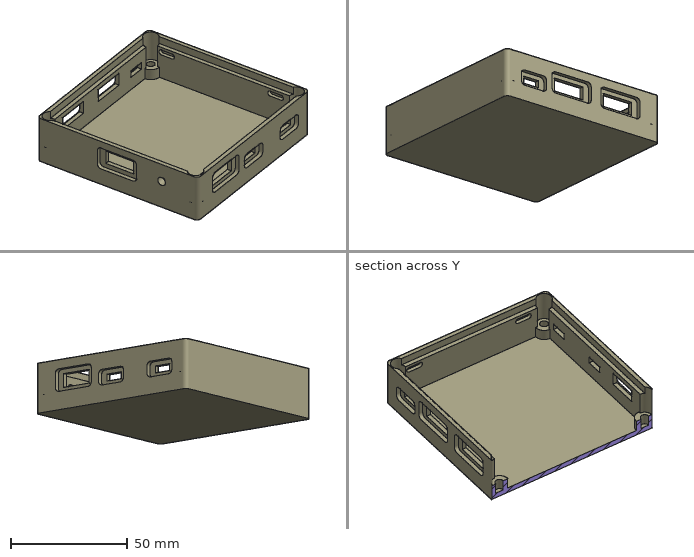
import cadquery as cq
side = 84.0
height = 22.0
corner_radius = 2.0
floor_thickness = 2.8

wall = 4.0
rim_wall = 2.0
ledge_depth = 3.5
half_side = side / 2

post_offset = half_side - wall
post_radius = 4.45
post_height = 5.1
clearance_radius = 3.5
screw_hole_diameter = 3.8

recess_depth = 2.0
recess_radius = 2.0
side_margin = 3.0
top_margin = 1.9
front_top_margin = 2.2
port_z = 13.0
port_height = 6.05
wide_port = 15.5
narrow_port = 14.0
small_port_width = 7.9
left_small_port_height = 3.3
right_small_port_height = 3.0
small_port_y = 27.0
left_small_port_z = 10.75
right_small_port_z = 11.1
left_port_ys = (6.2, -20.7)
right_port_y = -21.0

front_port_x = -0.3
front_port_width = 14.45
front_port_height = 6.3
front_z = 13.3
front_hole_x = 22.9
front_hole_diameter = 3.95

slot_xs = (27.2, -29.65)
slot_z = 15.9
slot_length = 8.1
slot_height = 2.5
slot_depth = 1.8


def square_block(width, bottom, top):
    return cq.Workplane("XY").workplane(offset=bottom).rect(width, width).extrude(top - bottom)


def at_corners(radius, bottom, top):
    """Four vertical cylinders on the post axes."""
    span = 2 * post_offset
    plane = cq.Workplane("XY").workplane(offset=bottom)
    return plane.rect(span, span, forConstruction=True).vertices().circle(radius).extrude(top - bottom)


def wall_plane(face):
    """Sketch plane on an outer wall face; local x runs to the right seen from outside."""
    frames = {
        "front": ((0, -half_side, 0), (1, 0, 0), (0, -1, 0)),
        "back": ((0, half_side, 0), (-1, 0, 0), (0, 1, 0)),
        "left": ((-half_side, 0, 0), (0, -1, 0), (-1, 0, 0)),
        "right": ((half_side, 0, 0), (0, 1, 0), (1, 0, 0)),
    }
    return cq.Workplane(cq.Plane(*frames[face]))


def port(face, x, z, width, opening_height, margin=top_margin):
    """Rectangular opening through a wall plus its rounded outer recess."""
    plane = wall_plane(face).center(x, z)
    opening = plane.rect(width, opening_height).extrude(-wall)
    recess = plane.rect(width + 2 * side_margin, opening_height + 2 * margin).extrude(-recess_depth)
    normal_axis = "|Y" if face in ("front", "back") else "|X"
    return opening.union(recess.edges(normal_axis).fillet(recess_radius))


body = square_block(side, 0, height).edges("|Z").fillet(corner_radius)
body = body.cut(square_block(side - 2 * wall, floor_thickness, height))
body = body.cut(square_block(side - 2 * rim_wall, height - ledge_depth, height))

post_top = floor_thickness + post_height
body = body.union(at_corners(post_radius, 0, post_top).intersect(square_block(side - 2 * wall, 0, post_top)))
body = body.cut(at_corners(clearance_radius, post_top, height))
body = body.cut(at_corners(screw_hole_diameter / 2, floor_thickness, post_top))

body = body.cut(port("left", -small_port_y, left_small_port_z, small_port_width, left_small_port_height))
for y in left_port_ys:
    body = body.cut(port("left", -y, port_z, wide_port, port_height))
for y in (small_port_y, 0):
    body = body.cut(port("right", y, right_small_port_z, small_port_width, right_small_port_height))
body = body.cut(port("right", right_port_y, port_z, narrow_port, port_height))
body = body.cut(
    port("front", front_port_x, front_z, front_port_width, front_port_height, front_top_margin)
)

front_hole = wall_plane("front").center(front_hole_x, front_z).circle(front_hole_diameter / 2).extrude(-wall)
body = body.cut(front_hole)

for x in slot_xs:
    inner_face = wall_plane("back").workplane(offset=-wall)
    body = body.cut(inner_face.center(-x, slot_z).slot2D(slot_length, slot_height).extrude(slot_depth))

result = body